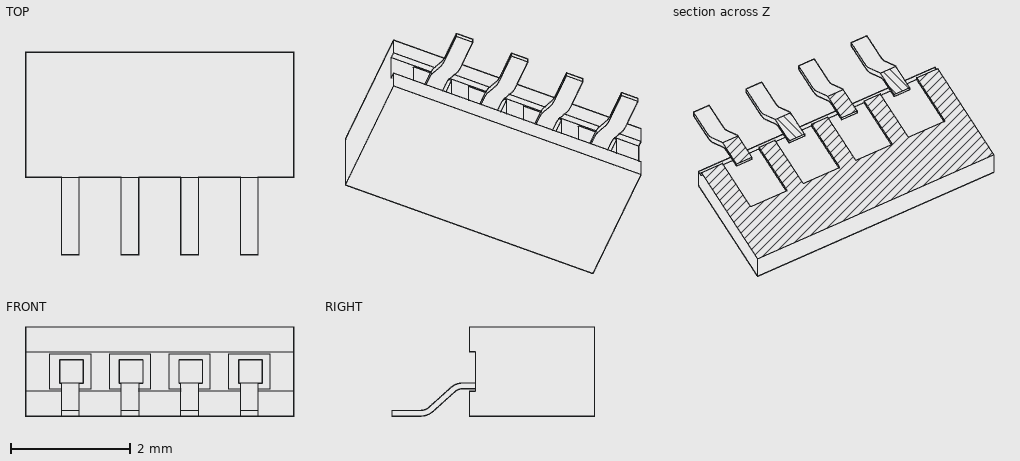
import cadquery as cq
import math

PIN_COUNT = 4
PITCH = 1.0

HOUSING_LENGTH = 4.5
HOUSING_DEPTH = 2.1
HOUSING_HEIGHT = 1.5
FRONT_Y = -HOUSING_DEPTH / 2
MID_HEIGHT = HOUSING_HEIGHT / 2

LIP_HEIGHT = 0.42
GROOVE_DEPTH = 0.1
GROOVE_HEIGHT = HOUSING_HEIGHT - 2 * LIP_HEIGHT

POCKET_WIDTH = 0.69
POCKET_HEIGHT = 0.58
POCKET_END = 1.1
OPENING_SIZE = 0.39
OPENING_OFFSET = 0.02

PIN_WIDTH = 0.3
PIN_THICKNESS = 0.1
PIN_TAIL_DEPTH = 0.23
PIN_REACH = 1.3
FIRST_BEND = 0.11
LEG_ANGLE = math.radians(42)
INNER_BEND_RADIUS = 0.2
OUTER_BEND_RADIUS = INNER_BEND_RADIUS + PIN_THICKNESS
TAIL_BOTTOM = MID_HEIGHT - POCKET_HEIGHT / 2
TAIL_TOP = TAIL_BOTTOM + PIN_THICKNESS

pin_positions = [(i - (PIN_COUNT - 1) / 2) * PITCH for i in range(PIN_COUNT)]


def block_from_front(width, height, start, end, x=0.0):
    """Box centred at mid height that runs from start to end behind the front face."""
    return (
        cq.Workplane("XY")
        .box(width, end - start, height)
        .translate((x, FRONT_Y + (start + end) / 2, MID_HEIGHT))
    )


def make_housing():
    body = block_from_front(HOUSING_LENGTH, HOUSING_HEIGHT, 0, HOUSING_DEPTH)
    body = body.cut(block_from_front(HOUSING_LENGTH, GROOVE_HEIGHT, 0, GROOVE_DEPTH))
    for x in pin_positions:
        body = body.cut(block_from_front(POCKET_WIDTH, POCKET_HEIGHT, 0, POCKET_END, x))
        opening_x = x + OPENING_OFFSET
        body = body.cut(block_from_front(OPENING_SIZE, OPENING_SIZE, 0, HOUSING_DEPTH, opening_x))
    return body


def make_pin(x):
    bend_radii = INNER_BEND_RADIUS + OUTER_BEND_RADIUS
    bend_drop = bend_radii * (1 - math.cos(LEG_ANGLE))
    leg_length = (TAIL_BOTTOM - bend_drop) / math.sin(LEG_ANGLE)
    bends_run = bend_radii * math.sin(LEG_ANGLE) + leg_length * math.cos(LEG_ANGLE)

    upper_y = FRONT_Y - FIRST_BEND
    upper_z = TAIL_BOTTOM - INNER_BEND_RADIUS
    lower_y = upper_y - bends_run
    lower_z = OUTER_BEND_RADIUS
    tail_y = FRONT_Y + PIN_TAIL_DEPTH
    tip_y = FRONT_Y - PIN_REACH

    def on_upper_bend(radius, angle):
        return (upper_y - radius * math.sin(angle), upper_z + radius * math.cos(angle))

    def on_lower_bend(radius, angle):
        return (lower_y + radius * math.sin(angle), lower_z - radius * math.cos(angle))

    half_angle = LEG_ANGLE / 2
    return (
        cq.Workplane("YZ")
        .moveTo(tail_y, TAIL_TOP)
        .lineTo(*on_upper_bend(OUTER_BEND_RADIUS, 0))
        .threePointArc(
            on_upper_bend(OUTER_BEND_RADIUS, half_angle),
            on_upper_bend(OUTER_BEND_RADIUS, LEG_ANGLE),
        )
        .lineTo(*on_lower_bend(INNER_BEND_RADIUS, LEG_ANGLE))
        .threePointArc(
            on_lower_bend(INNER_BEND_RADIUS, half_angle),
            on_lower_bend(INNER_BEND_RADIUS, 0),
        )
        .lineTo(tip_y, PIN_THICKNESS)
        .lineTo(tip_y, 0)
        .lineTo(*on_lower_bend(OUTER_BEND_RADIUS, 0))
        .threePointArc(
            on_lower_bend(OUTER_BEND_RADIUS, half_angle),
            on_lower_bend(OUTER_BEND_RADIUS, LEG_ANGLE),
        )
        .lineTo(*on_upper_bend(INNER_BEND_RADIUS, LEG_ANGLE))
        .threePointArc(
            on_upper_bend(INNER_BEND_RADIUS, half_angle),
            on_upper_bend(INNER_BEND_RADIUS, 0),
        )
        .lineTo(tail_y, TAIL_BOTTOM)
        .close()
        .extrude(PIN_WIDTH / 2, both=True)
        .translate((x, 0, 0))
    )


housing = make_housing()
pins = [make_pin(x) for x in pin_positions]

result = cq.Compound.makeCompound([housing.val(), *[pin.val() for pin in pins]])